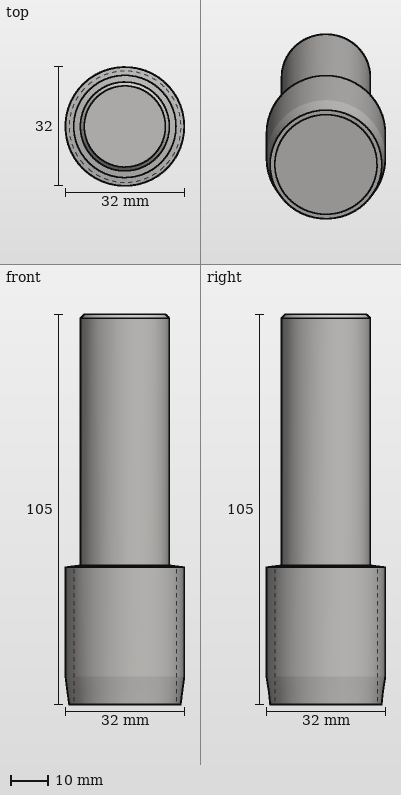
import cadquery as cq

total_length = 105.0
shank_diameter = 23.9
shank_chamfer = 1.0
foot_diameter = 27.5

sleeve_diameter = 32.0
sleeve_edge_height = 37.0
lead_in_length = 7.6
lead_in_end_diameter = 30.0

shoulder_drop = 0.5

shank_radius = shank_diameter / 2
foot_radius = foot_diameter / 2
sleeve_radius = sleeve_diameter / 2
shoulder_slope = shoulder_drop / (sleeve_radius - shank_radius)


def shoulder_height(radius):
    """Height of the shared conical shoulder at a given radius."""
    return sleeve_edge_height + shoulder_slope * (sleeve_radius - radius)


def revolve_profile(points):
    """Turn a closed outline of (radius, height) points about the Z axis."""
    return cq.Workplane("XZ").polyline(points).close().revolve(360, (0, 0, 0), (0, 1, 0))


def make_pin():
    """Stepped pin with a conical shoulder and a chamfered top."""
    return revolve_profile([
        (0, 0),
        (foot_radius, 0),
        (foot_radius, shoulder_height(foot_radius)),
        (shank_radius, shoulder_height(shank_radius)),
        (shank_radius, total_length - shank_chamfer),
        (shank_radius - shank_chamfer, total_length),
        (0, total_length),
    ])


def make_sleeve():
    """Sleeve with a conical top flush with the pin shoulder and a tapered lead-in."""
    return revolve_profile([
        (foot_radius, 0),
        (lead_in_end_diameter / 2, 0),
        (sleeve_radius, lead_in_length),
        (sleeve_radius, sleeve_edge_height),
        (foot_radius, shoulder_height(foot_radius)),
    ])


pin = make_pin()
sleeve = make_sleeve()

result = cq.Compound.makeCompound([pin.val(), sleeve.val()])